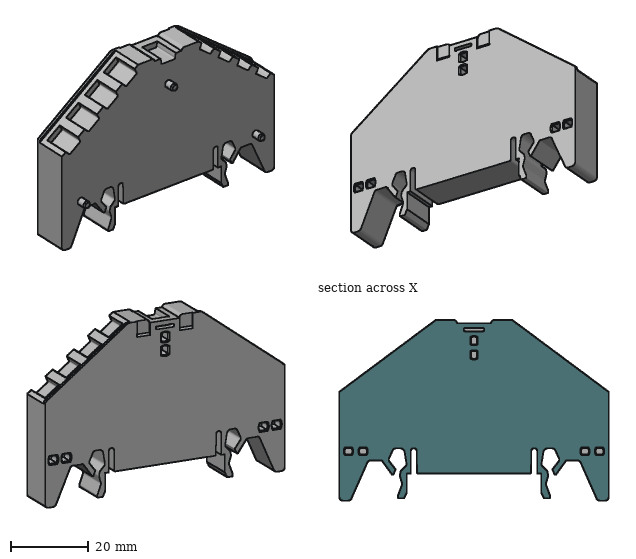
import math

import cadquery as cq

LENGTH = 70.0
HEIGHT = 47.0
BODY_THICKNESS = 10.3
TOTAL_THICKNESS = 13.2
HALF_LENGTH = LENGTH / 2
CUT_MARGIN = 1.0

SHOULDER_RISE = 18.7
SHOULDER_RUN = 25.1
BODY_SHOULDER_BASE = HEIGHT - SHOULDER_RISE
PLATE_THICKNESS = 0.9
PLATE_LIFT = 0.65
PLATE_LOW_RADIUS = 1.05
PLATE_TOP_RADIUS = 2.2

TOP_RECESS_HALF_WIDTH = 4.35
TOP_RECESS_DEPTH = 0.83
TOP_RECESS_RADIUS = 1.1

HOLLOW_WIDTH = 3.8
HOLLOW_DEPTH = 0.4
HOLLOW_BOTTOM = 42.8
HOLLOW_RAMP = 0.6

POCKET_START_X = 2.5
POCKET_DEPTH = 1.7
POCKET_FLOOR_RADIUS = 0.4
POCKET_DRAFT_DEPTH = 1.05
POCKET_DRAFT_WIDTH = 0.25
POCKETS_PER_SHOULDER = 4
POCKET_RUN = 4.1
POCKET_UPHILL_SHIFT = 0.05
POCKET_PITCH_RUN = 6.2
TOP_POCKET_LENGTH = 5.05

SLOT_LENGTH = 5.3
SLOT_WIDTH = 0.85
SLOT_HEIGHT = 44.45
SLOT_DEPTH = 2.0

PIN_DIAMETER = 2.1
PIN_TIP_LENGTH = 0.5
PIN_TIP_CHAMFER = 0.25
SOCKET_LENGTH = 3.1
SOCKET_WIDTH = 2.6
SOCKET_END_RADIUS = 2.1
SOCKET_CHAMFER_WIDTH = 0.3
SOCKET_CHAMFER_DEPTH = 0.35
SOCKET_BORE_DRAFT = 0.25
SOCKET_DEPTH = 3.0
SIDE_ROW_HEIGHT = 12.85
SIDE_SOCKET_INNER = 28.8
SIDE_SOCKET_OUTER = 32.6
TOP_SOCKET_LOW = 37.9
TOP_SOCKET_HIGH = 41.6

UNDERSIDE = [
    (14.85, 7.05, 0.35),
    (14.9, 13.62, 0.7),
    (16.4, 13.62, 0.7),
    (16.4, 7.05, 0),
    (17.45, 7.05, 0),
    (17.45, 2.1, 0),
    (18.15, 0.65, 0.1),
    (19.75, 0.65, 0.2),
    (19.75, 1.4, 0.4),
    (18.65, 4.35, 0.7),
    (19.3, 6.5, 0.8),
    (19.05, 7.75, 0.5),
    (17.5, 9.3, 0.8),
    (18.2, 13.62, 1.2),
    (20.85, 13.62, 1.0),
    (22.25, 10.6, 0.8),
    (20.35, 8.15, 0.2),
    (21.05, 6.45, 0.25),
    (23.95, 10.45, 0.2),
    (27.44, 10.45, 0.8),
    (32.07, 0.0, 1.0),
    (HALF_LENGTH, 0.0, 1.0),
]


def towards(start, end, distance):
    """Point at the given distance from start in the direction of end."""
    span = math.dist(start, end)
    return tuple(a + (b - a) * distance / span for a, b in zip(start, end))


def rounded_outline(corners):
    """Closed outline in the YZ plane through corners of (y, z, radius)."""
    stretches = []
    for index, (y, z, radius) in enumerate(corners):
        corner = (y, z)
        before = corners[index - 1][:2]
        after = corners[(index + 1) % len(corners)][:2]
        if radius == 0:
            stretches.append((corner,))
            continue
        toward_before = towards(corner, before, 1)
        toward_after = towards(corner, after, 1)
        half_angle = math.asin(math.dist(toward_before, toward_after) / 2)
        setback = radius / math.tan(half_angle)
        bisector = tuple((a + b) / 2 for a, b in zip(toward_before, toward_after))
        middle = towards(corner, bisector, radius / math.sin(half_angle) - radius)
        stretches.append((towards(corner, before, setback), middle, towards(corner, after, setback)))

    outline = cq.Workplane("YZ").moveTo(*stretches[-1][-1])
    for stretch in stretches:
        outline = outline.lineTo(*stretch[0])
        if len(stretch) > 1:
            outline = outline.threePointArc(*stretch[1:])
    return outline.close()


def mirrored_outline(half):
    """Full outline from the corners of its +Y half."""
    return rounded_outline(half + [(-y, z, radius) for y, z, radius in reversed(half)])


def make_case():
    shoulder_slope = SHOULDER_RISE / SHOULDER_RUN
    body_half = UNDERSIDE + [
        (HALF_LENGTH, BODY_SHOULDER_BASE, 0),
        (HALF_LENGTH - SHOULDER_RUN, HEIGHT, 0),
    ]
    plate_run = SHOULDER_RUN - PLATE_LIFT / shoulder_slope
    plate_half = UNDERSIDE + [
        (HALF_LENGTH, BODY_SHOULDER_BASE + PLATE_LIFT, PLATE_LOW_RADIUS),
        (HALF_LENGTH - plate_run, HEIGHT, PLATE_TOP_RADIUS),
    ]
    body = mirrored_outline(body_half).extrude(BODY_THICKNESS)
    plate = mirrored_outline(plate_half).extrude(PLATE_THICKNESS)
    return body.union(plate)


def make_top_recess():
    """Cutter with lips that round over from the top face down to the recess floor."""
    floor = HEIGHT - TOP_RECESS_DEPTH
    arc_centre_z = HEIGHT - TOP_RECESS_RADIUS
    end_angle = math.asin((floor - arc_centre_z) / TOP_RECESS_RADIUS)
    arc_centre_y = TOP_RECESS_HALF_WIDTH + TOP_RECESS_RADIUS * math.cos(end_angle)
    middle_angle = (end_angle + math.pi / 2) / 2
    middle_y = arc_centre_y - TOP_RECESS_RADIUS * math.cos(middle_angle)
    middle_z = arc_centre_z + TOP_RECESS_RADIUS * math.sin(middle_angle)
    return (
        cq.Workplane("YZ")
        .moveTo(-TOP_RECESS_HALF_WIDTH, floor)
        .lineTo(TOP_RECESS_HALF_WIDTH, floor)
        .threePointArc((middle_y, middle_z), (arc_centre_y, HEIGHT))
        .lineTo(arc_centre_y, HEIGHT + CUT_MARGIN)
        .lineTo(-arc_centre_y, HEIGHT + CUT_MARGIN)
        .lineTo(-arc_centre_y, HEIGHT)
        .threePointArc((-middle_y, middle_z), (-TOP_RECESS_HALF_WIDTH, floor))
        .close()
        .extrude(BODY_THICKNESS)
    )


def make_hollow():
    """Shallow hollow on the +Y side of the top recess, with a ramped bottom."""
    return (
        cq.Workplane("XZ", origin=(0, TOP_RECESS_HALF_WIDTH, 0))
        .moveTo(0, HOLLOW_BOTTOM)
        .lineTo(HOLLOW_DEPTH, HOLLOW_BOTTOM + HOLLOW_RAMP)
        .lineTo(HOLLOW_DEPTH, HEIGHT)
        .lineTo(0, HEIGHT)
        .close()
        .extrude(-HOLLOW_WIDTH)
    )


def make_pocket(length):
    """Pocket cutter with its opening centred on the origin, facing +Z, with drafted upper walls."""
    mouth_half = length / 2
    floor_half = mouth_half - POCKET_DRAFT_WIDTH
    corners = [
        (mouth_half, CUT_MARGIN, 0),
        (mouth_half, 0, 0),
        (floor_half, -POCKET_DRAFT_DEPTH, 0),
        (floor_half, -POCKET_DEPTH, POCKET_FLOOR_RADIUS),
    ]
    pocket = mirrored_outline(corners).extrude(BODY_THICKNESS - POCKET_START_X)
    return pocket.translate((POCKET_START_X, 0, 0))


def cut_pockets(case):
    floor = HEIGHT - TOP_RECESS_DEPTH
    case = case.cut(make_pocket(TOP_POCKET_LENGTH).translate((0, 0, floor)))

    slope_angle = math.atan2(SHOULDER_RISE, SHOULDER_RUN)
    slope_pocket = make_pocket(POCKET_RUN / math.cos(slope_angle))
    slope_pocket = slope_pocket.rotate((0, 0, 0), (1, 0, 0), -math.degrees(slope_angle))
    for index in range(POCKETS_PER_SHOULDER):
        offset = (index - (POCKETS_PER_SHOULDER - 1) / 2) * POCKET_PITCH_RUN
        run = SHOULDER_RUN / 2 + POCKET_UPHILL_SHIFT + offset
        height = BODY_SHOULDER_BASE + run * math.tan(slope_angle)
        pocket = slope_pocket.translate((0, HALF_LENGTH - run, height))
        case = case.cut(pocket).cut(pocket.mirror("XZ"))
    return case


def socket_outline(x, inset):
    """Rectangle with bowed ends, its flats parallel to Y, drawn inset from the socket mouth."""
    half_width = SOCKET_WIDTH / 2 - inset
    tip = SOCKET_LENGTH / 2 - inset
    radius = SOCKET_END_RADIUS - inset
    flat_end = tip - radius + math.sqrt(radius**2 - half_width**2)
    return (
        cq.Workplane("YZ", origin=(x, 0, 0))
        .moveTo(-flat_end, half_width)
        .lineTo(flat_end, half_width)
        .threePointArc((tip, 0), (flat_end, -half_width))
        .lineTo(-flat_end, -half_width)
        .threePointArc((-tip, 0), (-flat_end, half_width))
        .close()
        .wire()
        .val()
    )


def make_socket():
    """Blind socket with a chamfered mouth and a slightly narrowing bore."""
    mouth = socket_outline(0, 0)
    throat = socket_outline(SOCKET_CHAMFER_DEPTH, SOCKET_CHAMFER_WIDTH)
    bottom = socket_outline(SOCKET_DEPTH, SOCKET_CHAMFER_WIDTH + SOCKET_BORE_DRAFT)
    chamfer = cq.Solid.makeLoft([mouth, throat], True)
    bore = cq.Solid.makeLoft([throat, bottom], True)
    return cq.Workplane(chamfer).union(cq.Workplane(bore))


def cut_sockets(case):
    side_socket = make_socket()
    top_socket = side_socket.rotate((0, 0, 0), (1, 0, 0), 90)
    for distance in (SIDE_SOCKET_INNER, SIDE_SOCKET_OUTER):
        for y in (-distance, distance):
            case = case.cut(side_socket.translate((0, y, SIDE_ROW_HEIGHT)))
    for height in (TOP_SOCKET_LOW, TOP_SOCKET_HIGH):
        case = case.cut(top_socket.translate((0, 0, height)))
    return case


def make_pin():
    length = TOTAL_THICKNESS - BODY_THICKNESS
    return (
        cq.Workplane("YZ", origin=(BODY_THICKNESS, 0, 0))
        .circle(PIN_DIAMETER / 2)
        .extrude(length)
        .faces(">X")
        .chamfer(PIN_TIP_LENGTH, PIN_TIP_CHAMFER)
    )


def make_part():
    part = make_case().cut(make_top_recess())
    hollow = make_hollow()
    part = part.cut(hollow).cut(hollow.mirror("XZ"))
    part = cut_pockets(part)
    slot = cq.Workplane("YZ", origin=(0, 0, SLOT_HEIGHT)).slot2D(SLOT_LENGTH, SLOT_WIDTH).extrude(SLOT_DEPTH)
    part = cut_sockets(part.cut(slot))
    pin_places = (
        (-SIDE_SOCKET_INNER, SIDE_ROW_HEIGHT),
        (SIDE_SOCKET_INNER, SIDE_ROW_HEIGHT),
        (0, TOP_SOCKET_LOW),
    )
    for y, z in pin_places:
        part = part.union(make_pin().translate((0, y, z)))
    return part


result = make_part()